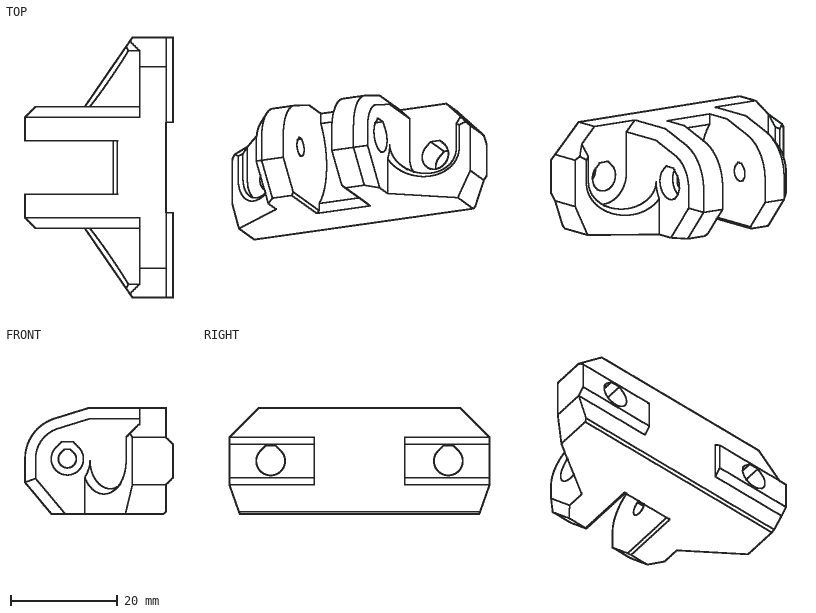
import cadquery as cq
import math

HEIGHT = 20.0
HALF_WIDTH = 24.5
MID_Z = HEIGHT / 2

PLATE_FRONT_X = 21.55
PLATE_BACK_X = 26.55
PLATE_CORNER_RISE = 5.55
PLATE_LOWER_CUT_WIDTH = 1.95
BASE_CHAMFER = 0.5

TONGUE_DEPTH = 1.3
TONGUE_INNER_Y = 8.5
TONGUE_ROOT_HALF_HEIGHT = MID_Z - PLATE_CORNER_RISE

PIN_X = 8.0
PIN_Z = 10.4
EAR_RADIUS = PIN_X
EAR_TOP_X = 12.0
EAR_NOSE_BOTTOM_Z = 6.0
EAR_HEEL_X = 5.0
EAR_OUTER_Y = 11.45
EAR_CHAMFER = 2.0
SLOT_HALF_WIDTH = 5.0
SLOT_SWEEP_RADIUS = 12.1
SLOT_TOP_X = 17.4
SLOT_BOTTOM_X = 16.6

WING_INNER_X = 11.25
WING_OUTER_X = 20.25
POCKET_RADIUS = 5.25
SCREW_Y = EAR_OUTER_Y + POCKET_RADIUS
POCKET_OUTER_Y = SCREW_Y + POCKET_RADIUS
POCKET_WALL_TOP_Z = HEIGHT - PLATE_CORNER_RISE + HALF_WIDTH - POCKET_OUTER_Y
POCKET_RIM_CHAMFER = 1.0

SCREW_RADIUS = 2.7
PIN_RADIUS = 1.65
PIN_HEAD_RADIUS = 3.05
PIN_HEAD_DEPTH = 3.0
PEAK_RISE = 0.15


def prism_along_y(profile, y_start, y_end):
    """Extrude an XZ profile builder from y_start to y_end."""
    return profile(cq.Workplane("XZ", origin=(0, y_end, 0))).extrude(y_end - y_start)


def mirrored(solid):
    """Join a solid with its mirror image across y = 0."""
    return solid.union(solid.mirror("XZ"))


def hole_outline(plane, u, v, radius):
    """Closed circle whose top rises along 45 degree tangents to a flat."""
    tangent = radius * math.sqrt(0.5)
    flat_height = radius + PEAK_RISE
    flat_half = radius * math.sqrt(2) - flat_height
    return (
        plane.moveTo(u + tangent, v + tangent)
        .lineTo(u + flat_half, v + flat_height)
        .lineTo(u - flat_half, v + flat_height)
        .lineTo(u - tangent, v + tangent)
        .threePointArc((u, v - radius), (u + tangent, v + tangent))
        .close()
    )


def plate_outline(start_x, end_x):
    """Prism of the end outline shared by the plate and the wings."""
    top_half = HALF_WIDTH - PLATE_CORNER_RISE
    base_half = HALF_WIDTH - PLATE_LOWER_CUT_WIDTH
    upper_z = HEIGHT - PLATE_CORNER_RISE
    right_side = [
        (base_half, 0),
        (HALF_WIDTH, PLATE_CORNER_RISE),
        (HALF_WIDTH, upper_z),
        (top_half, HEIGHT),
    ]
    left_side = [(-y, z) for y, z in reversed(right_side)]
    plane = cq.Workplane("YZ", origin=(start_x, 0, 0))
    return plane.polyline(right_side + left_side).close().extrude(end_x - start_x)


def make_plate():
    plate = plate_outline(PLATE_FRONT_X, PLATE_BACK_X)
    return plate.faces(">X").edges("<Z").chamfer(BASE_CHAMFER)


def make_tongue():
    tip_x = PLATE_BACK_X + TONGUE_DEPTH
    tip_half = TONGUE_ROOT_HALF_HEIGHT - TONGUE_DEPTH

    def profile(plane):
        return plane.polyline([
            (PLATE_BACK_X, MID_Z - TONGUE_ROOT_HALF_HEIGHT),
            (tip_x, MID_Z - tip_half),
            (tip_x, MID_Z + tip_half),
            (PLATE_BACK_X, MID_Z + TONGUE_ROOT_HALF_HEIGHT),
        ]).close()

    return prism_along_y(profile, TONGUE_INNER_Y, HALF_WIDTH)


def ear_profile(plane):
    """Nose rounded about the pin, then a tangent slope up to the top."""
    run = EAR_TOP_X - PIN_X
    rise = HEIGHT - PIN_Z
    tangent_angle = math.atan2(rise, run) + math.acos(EAR_RADIUS / math.hypot(run, rise))
    middle_angle = (tangent_angle + math.pi) / 2

    def on_nose(angle):
        return (PIN_X + EAR_RADIUS * math.cos(angle), PIN_Z + EAR_RADIUS * math.sin(angle))

    return (
        plane.moveTo(EAR_HEEL_X, 0)
        .lineTo(0, EAR_NOSE_BOTTOM_Z)
        .lineTo(0, PIN_Z)
        .threePointArc(on_nose(middle_angle), on_nose(tangent_angle))
        .lineTo(EAR_TOP_X, HEIGHT)
        .lineTo(PLATE_FRONT_X, HEIGHT)
        .lineTo(PLATE_FRONT_X, 0)
        .close()
    )


def make_hinge_block():
    """Both ears as one block, chamfered around the outside except at the base and plate."""
    block = prism_along_y(ear_profile, -EAR_OUTER_Y, EAR_OUTER_Y)
    return block.faces("<Y or >Y").edges("not (<Z or >X)").chamfer(EAR_CHAMFER)


def make_slot():
    """Clearance between the ears with a back wall swept about the pin."""
    def profile(plane):
        top_z = PIN_Z + math.sqrt(SLOT_SWEEP_RADIUS ** 2 - (SLOT_TOP_X - PIN_X) ** 2)
        bottom_z = PIN_Z - math.sqrt(SLOT_SWEEP_RADIUS ** 2 - (SLOT_BOTTOM_X - PIN_X) ** 2)
        return (
            plane.moveTo(0, 0)
            .lineTo(SLOT_BOTTOM_X, 0)
            .lineTo(SLOT_BOTTOM_X, bottom_z)
            .threePointArc((PIN_X + SLOT_SWEEP_RADIUS, PIN_Z), (SLOT_TOP_X, top_z))
            .lineTo(SLOT_TOP_X, HEIGHT)
            .lineTo(0, HEIGHT)
            .close()
        )

    slot = prism_along_y(profile, -SLOT_HALF_WIDTH, SLOT_HALF_WIDTH)
    flare_half = SLOT_HALF_WIDTH + BASE_CHAMFER
    base_flare = (
        cq.Workplane("YZ")
        .polyline([(-flare_half, 0), (flare_half, 0), (0, flare_half)])
        .close()
        .extrude(SLOT_BOTTOM_X)
    )
    return slot.union(base_flare)


def make_rim_bevel():
    """Cutter sloping the rim at 45 degrees down from where the pocket meets the plate."""
    def profile(plane):
        return plane.polyline([
            (PLATE_FRONT_X, POCKET_WALL_TOP_Z),
            (PLATE_FRONT_X - POCKET_WALL_TOP_Z, 0),
            (0, HEIGHT),
            (PLATE_FRONT_X, HEIGHT),
        ]).close()

    return prism_along_y(profile, SCREW_Y, HALF_WIDTH)


def make_wing():
    """Tapered wing with an open-topped U pocket and a bevelled rim."""
    plan = [
        (WING_INNER_X, EAR_OUTER_Y),
        (WING_OUTER_X, HALF_WIDTH),
        (PLATE_FRONT_X, HALF_WIDTH),
        (PLATE_FRONT_X, EAR_OUTER_Y),
    ]
    wing = cq.Workplane("XY").polyline(plan).close().extrude(HEIGHT)
    wing = wing.intersect(plate_outline(WING_INNER_X, PLATE_FRONT_X))

    pocket = (
        cq.Workplane("YZ")
        .moveTo(EAR_OUTER_Y, HEIGHT)
        .lineTo(EAR_OUTER_Y, MID_Z)
        .threePointArc((SCREW_Y, MID_Z - POCKET_RADIUS), (POCKET_OUTER_Y, MID_Z))
        .lineTo(POCKET_OUTER_Y, HEIGHT)
        .close()
        .extrude(PLATE_FRONT_X)
    )
    wing = wing.cut(pocket)

    taper = (WING_OUTER_X - WING_INNER_X) / (HALF_WIDTH - EAR_OUTER_Y)
    rim_x = WING_INNER_X + taper * (POCKET_OUTER_Y - EAR_OUTER_Y)
    rim_z = (MID_Z + POCKET_WALL_TOP_Z) / 2
    straight_rim = cq.selectors.NearestToPointSelector((rim_x, POCKET_OUTER_Y, rim_z))
    wing = wing.edges("%ELLIPSE").add(wing.edges(straight_rim)).chamfer(POCKET_RIM_CHAMFER)
    return wing.cut(make_rim_bevel())


def make_screw_hole():
    plane = cq.Workplane("YZ")
    return hole_outline(plane, SCREW_Y, MID_Z, SCREW_RADIUS).extrude(PLATE_BACK_X + TONGUE_DEPTH)


def make_pin_hole():
    def bore(plane):
        return hole_outline(plane, PIN_X, PIN_Z, PIN_RADIUS)

    def head_recess(plane):
        return hole_outline(plane, PIN_X, PIN_Z, PIN_HEAD_RADIUS)

    hole = prism_along_y(bore, 0, EAR_OUTER_Y)
    return hole.union(prism_along_y(head_recess, EAR_OUTER_Y - PIN_HEAD_DEPTH, EAR_OUTER_Y))


side_body = make_wing().union(make_tongue())
side_holes = make_screw_hole().union(make_pin_hole())

result = (
    make_plate()
    .union(make_hinge_block())
    .union(mirrored(side_body))
    .cut(make_slot())
    .cut(side_holes)
    .cut(side_holes.mirror("XZ"))
)